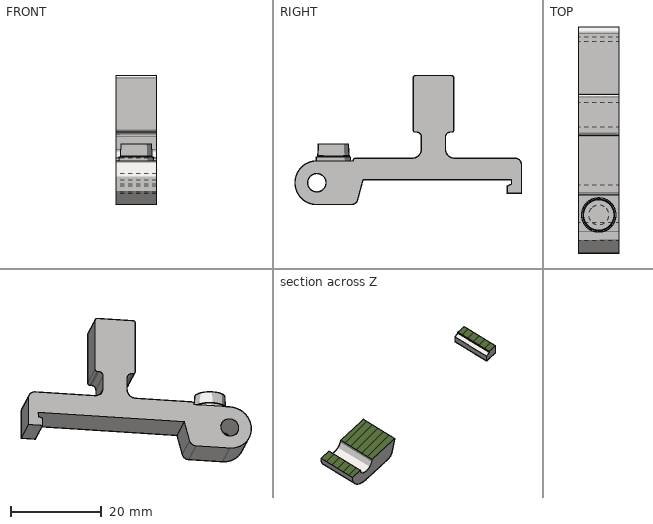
import cadquery as cq
import math

width = 9.0
length = 50.0
height = 28.5

lug_radius = 4.85
pivot_diameter = 4.0
lug_slope_angle = 15.0
lug_corner_radius = 1.5

arm_thickness = 4.8
lug_step = 0.6
step_corner_radius = 0.55
step_y = 8.0
lug_face_top_y = 10.2
arm_corner_radius = 1.5

hook_depth = 3.0
hook_wall = 2.25
hook_lip = 0.95
hook_notch_depth = 0.95
hook_lip_slope = 0.4

head_width = 9.0
head_height = 12.5
neck_width = 5.4
head_to_end = 14.95
neck_foot_radius = 1.9
neck_top_radius = 1.0
head_corner_radius = 0.5

button_y = 3.65
flange_diameter = 7.6
flange_height = 0.85
groove_diameter = 4.4
groove_height = 0.25
cap_base_diameter = 7.0
cap_top_diameter = 6.7
button_height = 3.7

end_y = length - lug_radius
arm_top = lug_radius + lug_step
arm_bottom = arm_top - arm_thickness
hook_bottom = arm_bottom - hook_depth
post_y = end_y - head_to_end - head_width / 2
post_top = height - lug_radius
head_bottom = post_top - head_height
lug_drop = arm_bottom + lug_radius
lug_face_bottom_y = lug_face_top_y - lug_drop * math.tan(math.radians(lug_slope_angle))


def round_edges(body, points, radius):
    """Fillet the edges along X that pass through the given (y, z) points."""
    for y, z in points:
        edge = cq.selectors.NearestToPointSelector((0, y, z))
        body = body.edges("|X").edges(edge).fillet(radius)
    return body


def post_pair(half_width, z):
    """Points on both sides of the post centre line."""
    return [(post_y - half_width, z), (post_y + half_width, z)]


def make_body():
    """Extrude the side profile across the width and round its corners."""
    inner_y = end_y - hook_wall
    lip_y = inner_y - hook_lip
    notch_z = arm_bottom - hook_notch_depth
    neck_half = neck_width / 2
    head_half = head_width / 2
    profile = (
        cq.Workplane("YZ")
        .moveTo(0, lug_radius)
        .lineTo(step_y, lug_radius)
        .lineTo(step_y, arm_top)
        .lineTo(post_y - neck_half, arm_top)
        .lineTo(post_y - neck_half, head_bottom)
        .lineTo(post_y - head_half, head_bottom)
        .lineTo(post_y - head_half, post_top)
        .lineTo(post_y + head_half, post_top)
        .lineTo(post_y + head_half, head_bottom)
        .lineTo(post_y + neck_half, head_bottom)
        .lineTo(post_y + neck_half, arm_top)
        .lineTo(end_y, arm_top)
        .lineTo(end_y, hook_bottom)
        .lineTo(lip_y, hook_bottom)
        .lineTo(lip_y, notch_z - hook_lip_slope)
        .lineTo(inner_y, notch_z)
        .lineTo(inner_y, arm_bottom)
        .lineTo(lug_face_top_y, arm_bottom)
        .lineTo(lug_face_bottom_y, -lug_radius)
        .lineTo(0, -lug_radius)
        .threePointArc((-lug_radius, 0), (0, lug_radius))
        .close()
    )
    body = profile.extrude(width / 2, both=True)
    head_corners = post_pair(head_half, head_bottom) + post_pair(head_half, post_top)
    body = round_edges(body, post_pair(neck_half, arm_top), neck_foot_radius)
    body = round_edges(body, post_pair(neck_half, head_bottom), neck_top_radius)
    body = round_edges(body, head_corners, head_corner_radius)
    body = round_edges(body, [(end_y, arm_top)], arm_corner_radius)
    body = round_edges(body, [(lug_face_bottom_y, -lug_radius)], lug_corner_radius)
    return round_edges(body, [(step_y, arm_top)], step_corner_radius)


def make_button():
    """Revolve the flange, groove and tapered cap about the vertical button axis."""
    groove_top = flange_height + groove_height
    return (
        cq.Workplane("XZ")
        .lineTo(flange_diameter / 2, 0)
        .lineTo(flange_diameter / 2, flange_height)
        .lineTo(groove_diameter / 2, flange_height)
        .lineTo(groove_diameter / 2, groove_top)
        .lineTo(cap_base_diameter / 2, groove_top)
        .lineTo(cap_top_diameter / 2, button_height)
        .lineTo(0, button_height)
        .close()
        .revolve(360, (0, 0), (0, 1))
        .translate((0, button_y, lug_radius))
    )


pivot_hole = cq.Workplane("YZ").circle(pivot_diameter / 2).extrude(width / 2, both=True)

result = make_body().cut(pivot_hole).union(make_button())